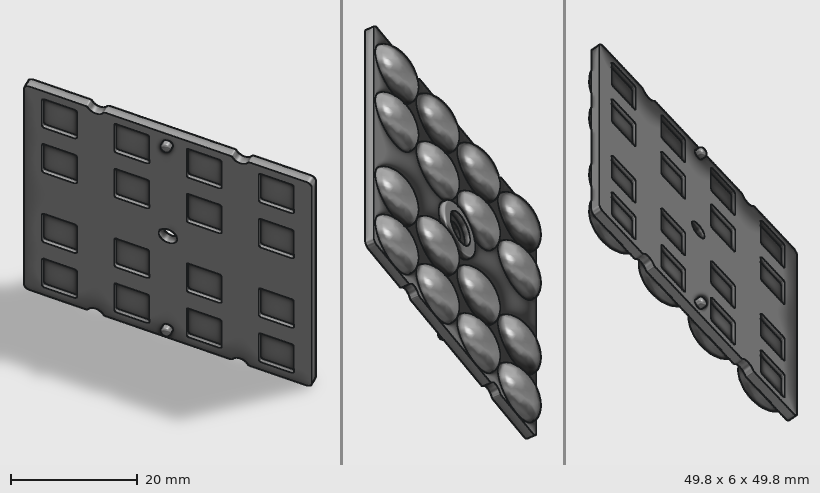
import cadquery as cq
import math

plate_side = 49.8
plate_thickness = 1.6
plate_corner_radius = 1.0

notch_radius = 1.5
notch_axis_offset = 0.5
notch_edge_fillet = 0.5

column_pitch = 12.5
columns = [(i - 1.5) * column_pitch for i in range(4)]
notch_columns = (-column_pitch, column_pitch)
inner_row = 8.5
outer_row = 19.55
rows = (-outer_row, -inner_row, inner_row, outer_row)

pocket_width = 6.1
pocket_height = 7.0
pocket_depth = 0.75
pocket_corner_radius = 0.5

lens_half_width = 11.3
lens_half_height = 9.3
lens_rise = 6.2
lens_drop = 0.65
lens_lean = 0.9

hole_diameter = 3.2
ring_outer_radius = 5.0
ring_inner_radius = 3.0
ring_height = 1.0
ring_fillet = 0.5

peg_diameter = 1.8
peg_length = 1.3
peg_fillet = 0.55
peg_offset = 22.5


def cylinder_along_y(x, z, radius, y_start, y_end):
    axis = cq.Vector(0, 1, 0)
    solid = cq.Solid.makeCylinder(radius, y_end - y_start, cq.Vector(x, y_start, z), axis)
    return cq.Workplane(obj=solid)


def make_plate():
    plate = cq.Workplane("XY").box(plate_side, plate_thickness, plate_side, centered=(True, False, True))
    plate = plate.edges("|Y").fillet(plate_corner_radius)
    axis_height = plate_side / 2 + notch_axis_offset
    for x in notch_columns:
        for z in (-axis_height, axis_height):
            plate = plate.cut(cylinder_along_y(x, z, notch_radius, 0, plate_thickness))

    half_mouth = math.sqrt(notch_radius**2 - notch_axis_offset**2)
    mouth_corners = [
        (x + side * half_mouth, plate_thickness / 2, z)
        for x in notch_columns
        for side in (-1, 1)
        for z in (-plate_side / 2, plate_side / 2)
    ]
    for corner in mouth_corners:
        plate = plate.edges(cq.selectors.NearestToPointSelector(corner)).fillet(notch_edge_fillet)
    return plate


def make_pocket(x, z):
    pocket = cq.Workplane("XY").box(pocket_width, pocket_depth, pocket_height, centered=(True, False, True))
    pocket = pocket.edges("|Y").fillet(pocket_corner_radius)
    return pocket.translate((x, 0, z))


def make_lens(x, z):
    """Half ellipsoid on the lens face, sheared so that its crown leans toward -Z."""
    axis = cq.Vector(0, 1, 0)
    hemisphere = cq.Solid.makeSphere(0.5, cq.Vector(0, 0, 0), axis, 0, 90, 360)
    stretch = cq.Matrix(
        [
            [lens_half_width, 0, 0, x],
            [0, lens_rise, 0, plate_thickness],
            [0, -lens_lean, lens_half_height, z - lens_drop],
        ]
    )
    return cq.Workplane(obj=hemisphere.transformGeometry(stretch))


def make_ring():
    top = plate_thickness + ring_height
    ring = cylinder_along_y(0, 0, ring_outer_radius, plate_thickness, top)
    ring = ring.faces(">Y").edges().fillet(ring_fillet)
    return ring.cut(cylinder_along_y(0, 0, ring_inner_radius, plate_thickness, top))


def make_peg(z):
    peg = cylinder_along_y(0, z, peg_diameter / 2, -peg_length, 0)
    return peg.faces("<Y").edges().fillet(peg_fillet)


result = make_plate()
result = result.cut(cylinder_along_y(0, 0, hole_diameter / 2, 0, plate_thickness))
result = result.union(make_ring())
for row in rows:
    for column in columns:
        result = result.union(make_lens(column, row))
        result = result.cut(make_pocket(column, row))
for peg_z in (-peg_offset, peg_offset):
    result = result.union(make_peg(peg_z))